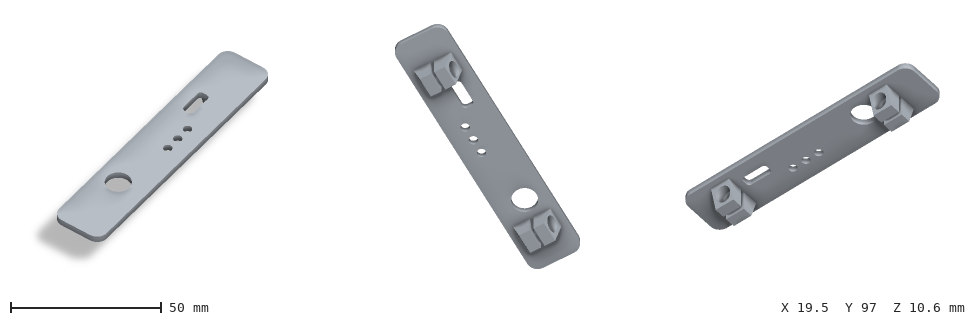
import cadquery as cq

plate_width = 19.5
plate_length = 97.0
plate_thickness = 2.5
plate_corner_radius = 3.9

slot_center = (-2.4, 21.9)
slot_width = 4.2
slot_length = 10.3
slot_corner_radius = 1.4
small_hole_diameter = 3.1
small_hole_x = 2.6
small_hole_middle_y = 4.95
small_hole_pitch = 5.5
large_hole_center = (-1.3, -23.1)
large_hole_diameter = 9.0

total_height = 10.6
lug_length = 7.6
lug_center_y = 33.9
lug_gap = 1.5
lug_top_half_span = 7.4
lug_bottom_half_span = 4.9

screw_hole_y = 33.5
screw_hole_drop = 6.7
screw_hole_diameter = 2.5
counterbore_diameter = 5.8
counterbore_floor_x = 3.6


def make_plate():
    plate = (
        cq.Workplane("XY")
        .workplane(offset=-plate_thickness)
        .rect(plate_width, plate_length)
        .extrude(plate_thickness)
        .edges("|Z")
        .fillet(plate_corner_radius)
    )
    slot = (
        cq.Workplane("XY")
        .center(*slot_center)
        .rect(slot_width, slot_length)
        .extrude(-plate_thickness)
        .edges("|Z")
        .fillet(slot_corner_radius)
    )
    small_hole_centers = [
        (small_hole_x, small_hole_middle_y + step * small_hole_pitch) for step in (-1, 0, 1)
    ]
    small_holes = (
        cq.Workplane("XY")
        .pushPoints(small_hole_centers)
        .circle(small_hole_diameter / 2)
        .extrude(-plate_thickness)
    )
    large_hole = (
        cq.Workplane("XY")
        .center(*large_hole_center)
        .circle(large_hole_diameter / 2)
        .extrude(-plate_thickness)
    )
    return plate.cut(slot).cut(small_holes).cut(large_hole)


def make_lug(x_side, y_side):
    """One lug, with its vertical face on the gap and its outer face tapered."""
    outline = [
        (x_side * lug_gap / 2, -plate_thickness),
        (x_side * lug_top_half_span, -plate_thickness),
        (x_side * lug_bottom_half_span, -total_height),
        (x_side * lug_gap / 2, -total_height),
    ]
    lug = (
        cq.Workplane("XZ", origin=(0, y_side * lug_center_y, 0))
        .polyline(outline)
        .close()
        .extrude(lug_length / 2, both=True)
    )

    def bore(diameter, start_x):
        origin = (x_side * start_x, y_side * screw_hole_y, -screw_hole_drop)
        depth = x_side * (lug_top_half_span - start_x)
        return cq.Workplane("YZ", origin=origin).circle(diameter / 2).extrude(depth)

    screw_hole = bore(screw_hole_diameter, 0)
    counterbore = bore(counterbore_diameter, counterbore_floor_x)
    return lug.cut(screw_hole).cut(counterbore)


result = make_plate()
for x_side in (-1, 1):
    for y_side in (-1, 1):
        result = result.union(make_lug(x_side, y_side))